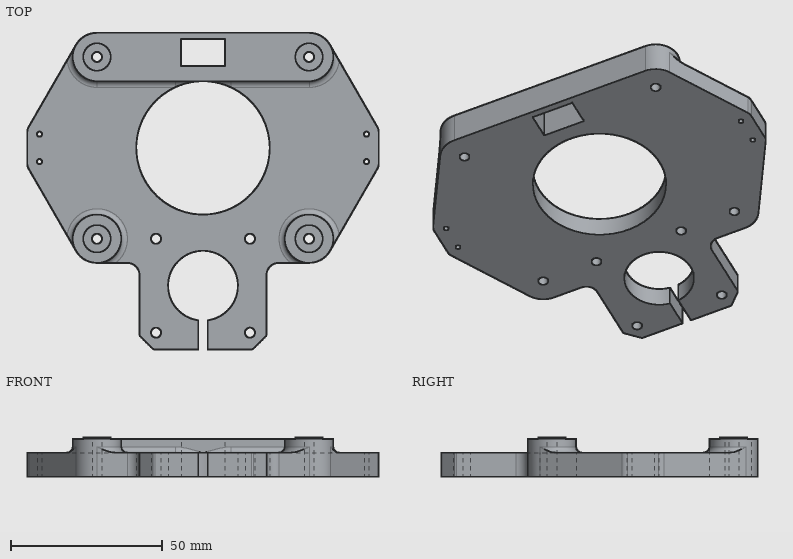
import cadquery as cq
import math

width = 116.0
depth = 104.5
plate_height = 8.0
boss_top = 12.5
pad_top = 13.0

boss_spacing_x = 70.0
boss_spacing_y = 60.0
boss_diameter = 16.0
pad_diameter = 9.0
screw_diameter = 3.2
flare_radius = 2.0
boss_x = boss_spacing_x / 2
boss_y = boss_spacing_y / 2
boss_radius = boss_diameter / 2
boss_points = [(x, y) for x in (-boss_x, boss_x) for y in (-boss_y, boss_y)]

flank_angle = math.radians(30)
side_corner_radius = 3.5
tab_half_width = 21.0
tab_chamfer = 4.6
tab_edge_radius = 0.9
tab_root_radius = 4.0
plate_back = boss_y + boss_radius
tab_front = plate_back - depth

main_bore_diameter = 44.0
main_bore_radius = main_bore_diameter / 2
clamp_bore_diameter = 23.0
clamp_screw_spacing = 31.0
clamp_y = -boss_y - clamp_screw_spacing / 2
slot_width = 3.0
window_width = 14.5
window_depth = 8.8
window_y = 31.4
side_hole_diameter = 1.6
side_hole_spacing_x = 107.9
side_hole_spacing_y = 9.0

bar_wall_y = boss_y - boss_radius
fade_sections = 8


def cylinder(diameter, height, points):
    return cq.Workplane("XY").pushPoints(points).circle(diameter / 2).extrude(height)


def make_outline(height):
    """Six-sided body with flanks tangent to the bosses, plus the front clamp tab."""
    tangent_x = boss_x + boss_radius * math.cos(flank_angle)
    tangent_y = boss_y + boss_radius * math.sin(flank_angle)
    side_y = tangent_y - (width / 2 - tangent_x) / math.tan(flank_angle)
    hexagon = (
        cq.Workplane("XY")
        .polyline([
            (tangent_x, tangent_y), (width / 2, side_y),
            (width / 2, -side_y), (tangent_x, -tangent_y),
            (boss_x, -plate_back), (-boss_x, -plate_back),
            (-tangent_x, -tangent_y), (-width / 2, -side_y),
            (-width / 2, side_y), (-tangent_x, tangent_y),
            (-boss_x, plate_back), (boss_x, plate_back),
        ])
        .close()
        .extrude(height)
        .edges("|Z and (<X or >X)")
        .fillet(side_corner_radius)
    )
    tab = (
        cq.Workplane("XY")
        .center(0, tab_front / 2)
        .rect(2 * tab_half_width, -tab_front)
        .extrude(height)
        .edges("|Z and <Y")
        .chamfer(tab_chamfer)
    )
    chamfer_edges = cq.selectors.BoxSelector(
        (-width, tab_front - 1.2, -1.2), (width, tab_front + tab_chamfer + 1.2, height + 1.2)
    )
    tab = tab.edges("|Z").edges(chamfer_edges).fillet(tab_edge_radius)
    outline = hexagon.union(tab).union(cylinder(boss_diameter, height, boss_points))
    root_edges = cq.selectors.BoxSelector(
        (-tab_half_width - 1.2, -plate_back - 1.2, -1.2), (tab_half_width + 1.2, -plate_back + 1.2, height + 1.2)
    )
    return outline.edges("|Z").edges(root_edges).fillet(tab_root_radius)


def make_boss_flare(point):
    """Boss core with a concave flare at its foot."""
    flare_top = plate_height + flare_radius
    diagonal = flare_radius * (1 - math.sqrt(0.5))
    return (
        cq.Workplane("XZ")
        .lineTo(boss_radius + flare_radius, 0)
        .lineTo(boss_radius + flare_radius, plate_height)
        .threePointArc((boss_radius + diagonal, plate_height + diagonal), (boss_radius, flare_top))
        .lineTo(0, flare_top)
        .close()
        .revolve(360, (0, 0, 0), (0, 1, 0))
        .translate((point[0], point[1], 0))
    )


def flare_section(x, reach):
    """Section of the bar flare that ends on the plate at a given reach from the wall."""
    rise = math.sqrt(flare_radius**2 - (flare_radius - reach) ** 2)
    middle = math.asin(min(1, rise / flare_radius)) / 2
    centre_y = bar_wall_y - flare_radius
    centre_z = plate_height + rise
    arc_middle = (
        centre_y + flare_radius * math.cos(middle),
        centre_z - flare_radius * math.sin(middle),
    )
    return (
        cq.Workplane("YZ", origin=(x, 0, 0))
        .moveTo(bar_wall_y + boss_radius / 2, 0)
        .lineTo(bar_wall_y - reach, 0)
        .lineTo(bar_wall_y - reach, plate_height)
        .threePointArc(arc_middle, (bar_wall_y, centre_z))
        .lineTo(bar_wall_y + boss_radius / 2, centre_z)
        .close()
    )


def make_bar_flare():
    """Flare along the bar, fading out where the main bore touches the bar wall."""
    fade_x = math.sqrt(main_bore_radius**2 - (bar_wall_y - flare_radius) ** 2)
    straight = flare_section(fade_x, flare_radius).extrude(boss_x - fade_x)
    wires = []
    for step in range(1, fade_sections + 1):
        x = fade_x * step / fade_sections
        reach = bar_wall_y - math.sqrt(main_bore_radius**2 - x**2)
        wires.append(flare_section(x, reach).wire().val())
    fade = cq.Workplane(cq.Solid.makeLoft(wires))
    half = straight.union(fade)
    return half.union(half.mirror("YZ"))


def make_raised_features():
    raised = cylinder(boss_diameter, boss_top, boss_points)
    bar = cq.Workplane("XY").center(0, boss_y).rect(boss_spacing_x, boss_diameter).extrude(boss_top)
    raised = raised.union(bar).union(make_bar_flare())
    for point in boss_points:
        raised = raised.union(make_boss_flare(point))
    return raised


def cut_openings(body):
    clamp_half = clamp_screw_spacing / 2
    clamp_screws = [(x, clamp_y + y) for x in (-clamp_half, clamp_half) for y in (-clamp_half, clamp_half)]
    side_x = side_hole_spacing_x / 2
    side_y = side_hole_spacing_y / 2
    side_holes = [(x, y) for x in (-side_x, side_x) for y in (-side_y, side_y)]
    body = body.cut(cylinder(main_bore_diameter, pad_top, [(0, 0)]))
    body = body.cut(cylinder(clamp_bore_diameter, pad_top, [(0, clamp_y)]))
    body = body.cut(cylinder(screw_diameter, pad_top, boss_points + clamp_screws))
    body = body.cut(cylinder(side_hole_diameter, pad_top, side_holes))
    slot_length = clamp_y - tab_front
    slot_y = (clamp_y + tab_front) / 2
    body = body.cut(cq.Workplane("XY").center(0, slot_y).rect(slot_width, slot_length).extrude(pad_top))
    window = cq.Workplane("XY").center(0, window_y).rect(window_width, window_depth).extrude(pad_top)
    return body.cut(window)


raised = make_raised_features().intersect(make_outline(boss_top))
pads = cylinder(pad_diameter, pad_top, boss_points)
result = cut_openings(make_outline(plate_height).union(raised).union(pads))